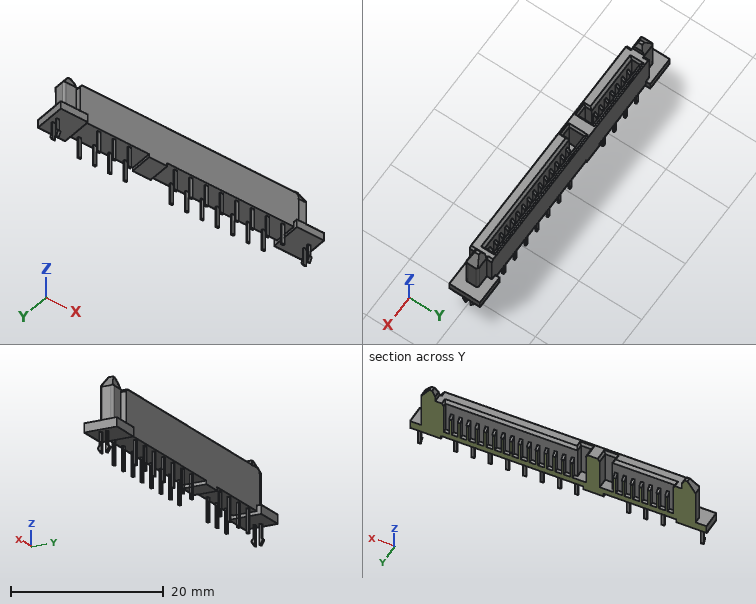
import cadquery as cq


overall_length = 43.6
overall_depth = 4.9
flange_length = 4.5
flange_height = 1.3

body_half_length = 18.1
body_depth = 3.55
body_bottom = 0.5
body_top = 6.55
end_bevel_x = 0.33
end_bevel_z = 0.4

pad_center_x = -5.15
pad_length = 3.0

cavity_outer_end = 17.13
partition_center_x = -5.07
partition_thickness = 1.5
cavity_half_depth = 1.51
tongue_face_y = -0.59
signal_key_length = 2.14
power_key_length = 2.04
cavity_floor = 1.5
mouth_bevel = 0.27
mouth_bevel_long = 0.4

pitch = 1.27
signal_count = 7
power_count = 15
skipped_positions = 4
position_count = signal_count + skipped_positions + power_count
first_pin_x = -(position_count - 1) * pitch / 2
pin_width = 0.45
pin_thickness = 0.27
pin_row_offset = 1.25
pin_bottom = -2.9
pin_root = 1.0
contact_width = 0.4
contact_face_y = 0.32
contact_tip_z = 5.0

post_outer_x = 20.2
post_root_x = 17.5
post_half_depth = 0.97
post_corner_radius = 0.33
post_shoulder_z = body_top
post_top = 8.2
tip_outer_x = 19.0
tip_inner_x = 18.55
tip_inner_shoulder_z = 7.35
tip_half_depth = 0.33

leg_x = 20.8
leg_width = 0.42
leg_inner_y = 0.33
leg_outer_y = 0.6
barb_tip_y = 0.87
barb_start_z = -1.9
barb_tip_z = -2.25
leg_end_y = 0.46


def block(x_min, x_max, depth, z_min, z_max, center_y=0):
    """Box between two X and two Z limits, centred on a Y position."""
    return (
        cq.Workplane("XY", origin=((x_min + x_max) / 2, center_y, z_min))
        .box(x_max - x_min, depth, z_max - z_min, centered=(True, True, False))
    )


def extrude_along_x(points, width, center_x):
    """Prism of a (Y, Z) outline, centred on an X position."""
    return cq.Workplane("YZ", origin=(center_x, 0, 0)).polyline(points).close().extrude(width / 2, both=True)


def both_ends(shape):
    """A shape together with its mirror image at the other end."""
    return shape.union(shape.mirror("YZ"))


def make_housing():
    bevel_points = [
        (-body_half_length, body_top),
        (-body_half_length + end_bevel_x, body_top),
        (-body_half_length, body_top - end_bevel_z),
    ]
    bevel = cq.Workplane("XZ").polyline(bevel_points).close().extrude(body_depth, both=True)
    housing = block(-body_half_length, body_half_length, body_depth, body_bottom, body_top)
    pad = block(pad_center_x - pad_length / 2, pad_center_x + pad_length / 2, body_depth, 0, body_top)
    return housing.cut(both_ends(bevel)).union(pad)


def make_cavity(outer_x, inner_x, key_length):
    """L-shaped pocket with a bevelled mouth; its key slot is at inner_x."""
    inward = 1 if inner_x > outer_x else -1
    key_x = inner_x - inward * key_length
    bevel_x = inward * mouth_bevel
    mouth = [
        (outer_x, cavity_half_depth),
        (inner_x, cavity_half_depth),
        (inner_x, -cavity_half_depth),
        (key_x, -cavity_half_depth),
        (key_x, tongue_face_y),
        (outer_x, tongue_face_y),
    ]
    throat_back_y = cavity_half_depth - mouth_bevel_long
    throat_key_y = -cavity_half_depth + mouth_bevel
    throat_tongue_y = tongue_face_y + mouth_bevel_long
    throat = [
        (outer_x + bevel_x, throat_back_y),
        (inner_x - bevel_x, throat_back_y),
        (inner_x - bevel_x, throat_key_y),
        (key_x + bevel_x, throat_key_y),
        (key_x + bevel_x, throat_tongue_y),
        (outer_x + bevel_x, throat_tongue_y),
    ]
    throat_z = body_top - mouth_bevel_long
    funnel = (
        cq.Workplane("XY", origin=(0, 0, throat_z))
        .polyline(throat).close()
        .workplane(offset=mouth_bevel_long)
        .polyline(mouth).close()
        .loft(ruled=True)
    )
    pocket = (
        cq.Workplane("XY", origin=(0, 0, cavity_floor))
        .polyline(throat).close()
        .extrude(throat_z - cavity_floor)
    )
    return funnel.union(pocket)


def make_contact(x):
    """Contact blade standing on the cavity floor against the tongue, with a sloped tip."""
    points = [
        (tongue_face_y, pin_root),
        (contact_face_y, pin_root),
        (contact_face_y, contact_tip_z - (contact_face_y - tongue_face_y)),
        (tongue_face_y, contact_tip_z),
    ]
    return extrude_along_x(points, contact_width, x)


def make_pin(x, y):
    return block(x - pin_width / 2, x + pin_width / 2, pin_thickness, pin_bottom, pin_root, y)


def make_guide_post():
    """Post at the -X end: side profile, end profile and rounded plan intersected."""
    side_points = [
        (-post_outer_x, 0),
        (-post_outer_x, post_shoulder_z),
        (-tip_outer_x, post_top),
        (-tip_inner_x, post_top),
        (-body_half_length, tip_inner_shoulder_z),
        (-body_half_length, body_top),
        (-post_root_x, body_top),
        (-post_root_x, 0),
    ]
    end_points = [
        (-post_half_depth, 0),
        (-post_half_depth, post_shoulder_z),
        (-tip_half_depth, post_top),
        (tip_half_depth, post_top),
        (post_half_depth, post_shoulder_z),
        (post_half_depth, 0),
    ]
    side = cq.Workplane("XZ").polyline(side_points).close().extrude(body_depth, both=True)
    end = extrude_along_x(end_points, overall_length, 0)
    plan = (
        block(-post_outer_x, -post_root_x, 2 * post_half_depth, 0, post_top)
        .edges("|Z and <X").fillet(post_corner_radius)
    )
    return plan.intersect(side).intersect(end)


def make_board_lock():
    """Pair of barbed legs under the -X flange."""
    points = [
        (leg_inner_y, flange_height / 2),
        (leg_outer_y, flange_height / 2),
        (leg_outer_y, barb_start_z),
        (barb_tip_y, barb_tip_z),
        (leg_end_y, pin_bottom),
        (leg_inner_y, pin_bottom),
    ]
    leg = extrude_along_x(points, leg_width, -leg_x)
    return leg.union(leg.mirror("XZ"))


def make_flange():
    outer_x = -overall_length / 2
    return block(outer_x, outer_x + flange_length, overall_depth, 0, flange_height)


end_features = make_flange().union(make_guide_post()).union(make_board_lock())
result = make_housing().union(both_ends(end_features))

signal_inner_x = partition_center_x - partition_thickness / 2
power_inner_x = partition_center_x + partition_thickness / 2
result = result.cut(make_cavity(-cavity_outer_end, signal_inner_x, signal_key_length))
result = result.cut(make_cavity(cavity_outer_end, power_inner_x, power_key_length))

signal_positions = list(range(signal_count))
power_positions = list(range(signal_count + skipped_positions, position_count))
for position in signal_positions + power_positions:
    pin_x = first_pin_x + position * pitch
    pin_y = pin_row_offset if position % 2 == 0 else -pin_row_offset
    result = result.union(make_contact(pin_x)).union(make_pin(pin_x, pin_y))